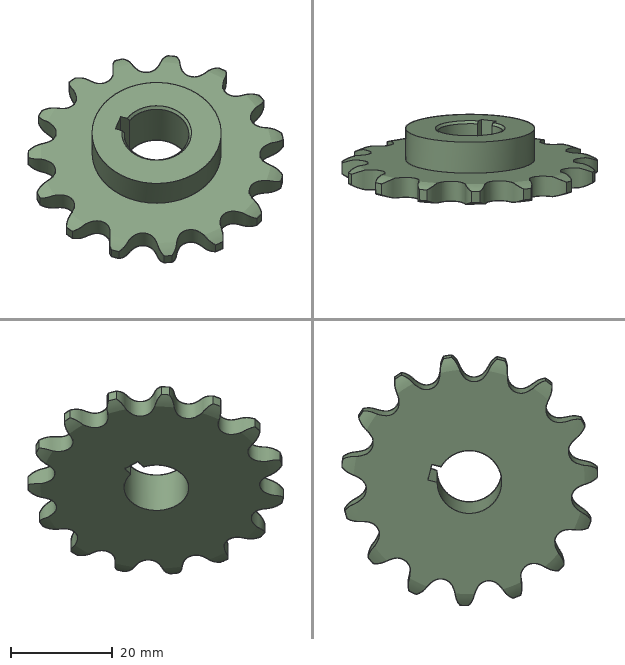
import cadquery as cq
import math


TEETH = 15
PITCH = 9.5
ROLLER_DIAMETER = 5.1
SEATING_RADIUS = 2.55
PLATE_THICKNESS = 4.05
TIP_THICKNESS = 2.15
TIP_RELIEF_LENGTH = 2.5
TIP_RELIEF_BULGE = 0.09

HUB_DIAMETER = 25.4
TOTAL_HEIGHT = 10.3

BORE_DIAMETER = 12.7
BORE_CHAMFER = 0.5
KEYWAY_WIDTH = 3.2
KEYWAY_REACH = 8.0

WORKING_RADIUS_RATIO = 1.3025
TOPPING_CENTER_RATIO = 1.4
OUTER_DIAMETER_OFFSET = 0.6
SEATING_ANGLE = math.radians(35 + 60 / TEETH)
WORKING_ANGLE = math.radians(18 - 56 / TEETH)

HALF_TOOTH_ANGLE = math.pi / TEETH
PITCH_RADIUS = PITCH / 2 / math.sin(HALF_TOOTH_ANGLE)
TIP_RADIUS = PITCH / 2 * (OUTER_DIAMETER_OFFSET + 1 / math.tan(HALF_TOOTH_ANGLE))
GAP_RADIUS = 1.02 * TIP_RADIUS


def polar(center, radius, angle):
    """Point at a radius and an angle from +X about a center."""
    return (center[0] + radius * math.cos(angle), center[1] + radius * math.sin(angle))


def mirrored(point):
    return (-point[0], point[1])


def make_blank():
    """Turned disc whose rim narrows through a convex relief on both faces."""
    relief_start = TIP_RADIUS - TIP_RELIEF_LENGTH
    relief_drop = (PLATE_THICKNESS - TIP_THICKNESS) / 2
    chord = math.hypot(TIP_RELIEF_LENGTH, relief_drop)
    mid_radius = relief_start + TIP_RELIEF_LENGTH / 2 + TIP_RELIEF_BULGE * relief_drop / chord
    mid_depth = relief_drop / 2 - TIP_RELIEF_BULGE * TIP_RELIEF_LENGTH / chord
    return (
        cq.Workplane("XZ")
        .lineTo(relief_start, 0)
        .threePointArc((mid_radius, mid_depth), (TIP_RADIUS, relief_drop))
        .lineTo(TIP_RADIUS, PLATE_THICKNESS - relief_drop)
        .threePointArc((mid_radius, PLATE_THICKNESS - mid_depth), (relief_start, PLATE_THICKNESS))
        .lineTo(0, PLATE_THICKNESS)
        .close()
        .revolve(360, (0, 0), (0, 1))
    )


def make_gap_cutter():
    """Tooth gap centred on +Y; each side is a working arc, a straight flank and a convex topping arc."""
    seat_center = (0, PITCH_RADIUS)
    seat_bottom = (0, PITCH_RADIUS - SEATING_RADIUS)
    seat_end = polar(seat_center, SEATING_RADIUS, -SEATING_ANGLE)

    working_radius = WORKING_RADIUS_RATIO * ROLLER_DIAMETER
    working_center = polar(seat_center, SEATING_RADIUS - working_radius, -SEATING_ANGLE)
    flank_angle = WORKING_ANGLE - SEATING_ANGLE
    working_mid = polar(working_center, working_radius, WORKING_ANGLE / 2 - SEATING_ANGLE)
    working_end = polar(working_center, working_radius, flank_angle)

    center_distance = TOPPING_CENTER_RATIO * ROLLER_DIAMETER
    topping_center = polar(seat_center, center_distance, -HALF_TOOTH_ANGLE)
    topping_radius = (
        (topping_center[0] - working_end[0]) * math.cos(flank_angle)
        + (topping_center[1] - working_end[1]) * math.sin(flank_angle)
    )
    topping_start = polar(topping_center, -topping_radius, flank_angle)

    center_radius = math.hypot(*topping_center)
    cos_at_axis = (center_radius**2 + GAP_RADIUS**2 - topping_radius**2) / (2 * center_radius * GAP_RADIUS)
    end_direction = math.atan2(topping_center[1], topping_center[0]) + math.acos(cos_at_axis)
    topping_end = polar((0, 0), GAP_RADIUS, end_direction)
    topping_end_angle = math.atan2(topping_end[1] - topping_center[1], topping_end[0] - topping_center[0])
    topping_mid = polar(topping_center, topping_radius, (topping_end_angle + math.pi + flank_angle) / 2)

    return (
        cq.Workplane("XY")
        .moveTo(*mirrored(seat_end))
        .threePointArc(seat_bottom, seat_end)
        .threePointArc(working_mid, working_end)
        .lineTo(*topping_start)
        .threePointArc(topping_mid, topping_end)
        .threePointArc((0, GAP_RADIUS), mirrored(topping_end))
        .threePointArc(mirrored(topping_mid), mirrored(topping_start))
        .lineTo(*mirrored(working_end))
        .threePointArc(mirrored(working_mid), mirrored(seat_end))
        .close()
        .extrude(PLATE_THICKNESS)
    )


def make_toothed_plate():
    plate = make_blank()
    gap_cutter = make_gap_cutter()
    for index in range(TEETH):
        plate = plate.cut(gap_cutter.rotate((0, 0, 0), (0, 0, 1), index * 360 / TEETH))
    return plate


def make_hub():
    return cq.Workplane("XY").circle(HUB_DIAMETER / 2).extrude(TOTAL_HEIGHT)


def make_bore_cutter():
    """Through bore, chamfered at the hub face."""
    bore_radius = BORE_DIAMETER / 2
    return (
        cq.Workplane("XZ")
        .lineTo(bore_radius, 0)
        .lineTo(bore_radius, TOTAL_HEIGHT - BORE_CHAMFER)
        .lineTo(bore_radius + BORE_CHAMFER, TOTAL_HEIGHT)
        .lineTo(0, TOTAL_HEIGHT)
        .close()
        .revolve(360, (0, 0), (0, 1))
    )


def make_keyway_cutter():
    """Keyway on the -X side of the bore, over the full height."""
    return (
        cq.Workplane("XY")
        .center(-KEYWAY_REACH / 2, 0)
        .rect(KEYWAY_REACH, KEYWAY_WIDTH)
        .extrude(TOTAL_HEIGHT)
    )


result = make_toothed_plate().union(make_hub()).cut(make_bore_cutter()).cut(make_keyway_cutter())